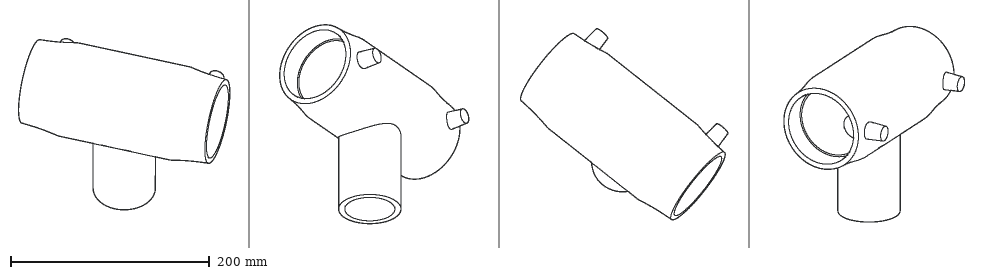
import cadquery as cq

sleeve_length = 196.0
sleeve_diameter = 96.0
sleeve_end_diameter = 86.2
taper_length = 39.2
taper_hollow = 0.8

socket_diameter = 75.0
socket_depth = 23.5
bore_diameter = 71.3

branch_diameter = 63.0
branch_bore_diameter = 50.4
branch_reach = 122.0

terminal_end_offset = 19.6
terminal_reach = 62.0
terminal_length = 19.6
terminal_tip_diameter = 15.3
terminal_root_diameter = 18.0


def make_sleeve():
    """Solid of revolution: straight middle with a hollow taper at each end."""
    end_x = sleeve_length / 2
    shoulder_x = end_x - taper_length
    radius = sleeve_diameter / 2
    end_radius = sleeve_end_diameter / 2
    taper_mid_x = end_x - taper_length / 2
    taper_mid_radius = (radius + end_radius) / 2 - taper_hollow
    return (
        cq.Workplane("XY")
        .moveTo(-end_x, 0)
        .lineTo(-end_x, end_radius)
        .threePointArc((-taper_mid_x, taper_mid_radius), (-shoulder_x, radius))
        .lineTo(shoulder_x, radius)
        .threePointArc((taper_mid_x, taper_mid_radius), (end_x, end_radius))
        .lineTo(end_x, 0)
        .close()
        .revolve(360, (0, 0, 0), (1, 0, 0))
    )


def cylinder_along_x(diameter, start_x, length):
    return cq.Workplane("YZ", origin=(start_x, 0, 0)).circle(diameter / 2).extrude(length)


def cylinder_down(diameter):
    """Cylinder from the sleeve axis down to the open end of the branch."""
    return cq.Workplane("XY").circle(diameter / 2).extrude(-branch_reach)


def make_terminal(center_x):
    """Cone frustum rooted in the sleeve wall, narrowing towards its +Y tip."""
    frustum = cq.Solid.makeCone(
        terminal_root_diameter / 2,
        terminal_tip_diameter / 2,
        terminal_length,
        pnt=cq.Vector(center_x, terminal_reach - terminal_length, 0),
        dir=cq.Vector(0, 1, 0),
    )
    return cq.Workplane(obj=frustum)


result = make_sleeve().union(cylinder_down(branch_diameter))
terminal_x = sleeve_length / 2 - terminal_end_offset
for center_x in (-terminal_x, terminal_x):
    result = result.union(make_terminal(center_x))

result = result.cut(cylinder_along_x(bore_diameter, -sleeve_length / 2, sleeve_length))
for start_x in (-sleeve_length / 2, sleeve_length / 2 - socket_depth):
    result = result.cut(cylinder_along_x(socket_diameter, start_x, socket_depth))
result = result.cut(cylinder_down(branch_bore_diameter))